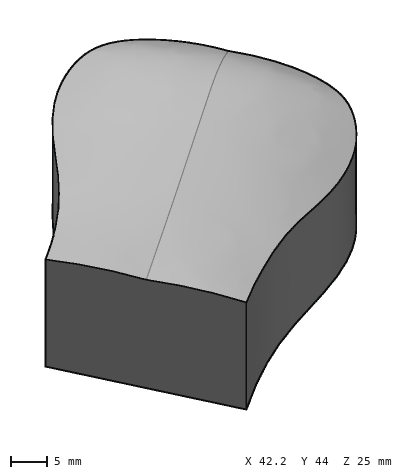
import cadquery as cq

width = 42.15
depth = 43.95
front_width = 28.65
blank_height = 26.35
crown_overhang = 0.45
half_width = width / 2

notch_depth = 0.65
widest_y = 30.45
lobe_peak_x = 5.95
neck_points = [(14.55, 5.27), (15.45, 11.25), (16.9, 16.17), (19.78, 23.9)]
shoulder_points = [(20.25, 35.85), (17.45, 40.13), (12.88, 42.85)]
side_points = (
    [(front_width / 2, 0)]
    + neck_points
    + [(half_width, widest_y)]
    + shoulder_points
    + [(lobe_peak_x, depth), (0, depth - notch_depth)]
)

crown_sections = [
    (-2.2, 24.35, 24.45, 22.7),
    (0, 24.35, 24.5, 22.5),
    (6.6, 24.3, 23.78, 20.55),
    (14.05, 24.3, 23.55, 20.9),
    (21.98, 24.52, 23.5, 20.15),
    (30.75, 24.88, 23.8, 20.3),
    (34.3, 24.95, 23.8, 20.2),
    (39.55, 24.0, 23.05, 19.6),
    (43.3, 21.9, 20.75, 17.3),
    (45.7, 19.78, 18.9, 15.82),
]


def plan_half(side):
    """Half of the plan outline raised to a block; side is +1 for right, -1 for left."""
    points = [(side * x, y) for x, y in side_points]
    return (
        cq.Workplane("XY")
        .lineTo(*points[0])
        .spline(points[1:], includeCurrent=True)
        .close()
        .extrude(blank_height)
    )


def crown_section(side, y, centre, midway, rim):
    """Closed section at depth y lying under one half of the crown."""
    reach = side * (half_width + crown_overhang)
    crown = cq.Edge.makeThreePointArc(
        cq.Vector(0, y, centre), cq.Vector(reach / 2, y, midway), cq.Vector(reach, y, rim)
    )
    straight_corners = [(reach, y, rim), (reach, y, 0), (0, y, 0), (0, y, centre)]
    walls = cq.Wire.makePolygon([cq.Vector(*corner) for corner in straight_corners])
    return cq.Wire.assembleEdges([crown] + walls.Edges())


def body_half(side):
    """One half of the part: the plan block trimmed to the crown."""
    sections = [crown_section(side, *section) for section in crown_sections]
    under_crown = cq.Workplane(cq.Solid.makeLoft(sections))
    return plan_half(side).intersect(under_crown)


result = body_half(1).union(body_half(-1))